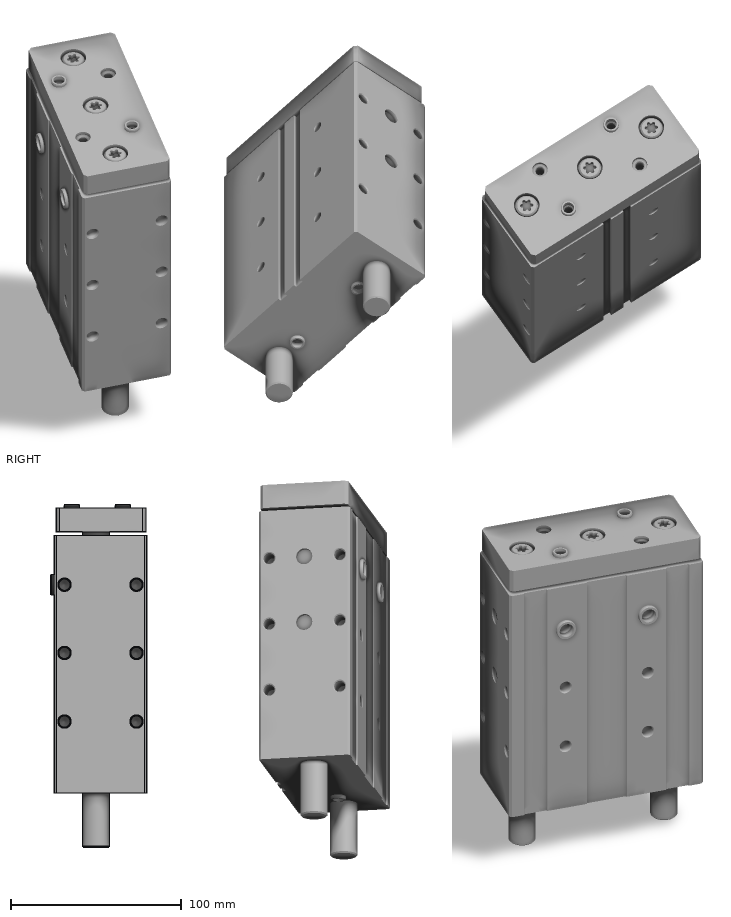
import cadquery as cq
import math


housing_width = 120.0
housing_depth = 54.5
housing_bottom = 31.7
housing_height = 151.0
housing_top = housing_bottom + housing_height
housing_corner_chamfer = 1.5
front_face = -housing_depth / 2
back_face = housing_depth / 2
left_face = -housing_width / 2

front_recess_depth = 0.8
centre_recess_width = 24.5
outer_recess_width = 14.5
outer_recess_floor_width = 13.3
outer_recess_offset = 44.0
sensor_slot_width = 5.5
sensor_slot_depth = 2.0
sensor_slot_offset = 7.0

hole_levels = [73.7, 113.9, 153.8]
sleeve_level = hole_levels[-1]
port_levels = hole_levels[1:]
front_hole_offset = 25.5
side_hole_offset = 21.0
mounting_hole_diameter = 6.6
countersink_diameter = 7.8
side_hole_depth = 12.0
drill_tip_angle = 118
port_diameter = 9.6
port_plug_recess = 2.5
port_plug_length = 4.0
port_depth = port_plug_recess + port_plug_length

plate_gap = 2.0
plate_height = 14.0
plate_width = 118.5
plate_depth = 52.6
plate_centre_y = 0.5
plate_corner_chamfer = 2.0
plate_bottom = housing_top + plate_gap
plate_top = plate_bottom + plate_height
guide_rod_diameter = 16.0
guide_rod_offset = 44.0
guide_rod_y = -2.6
guide_rod_chamfer = 0.8
piston_rod_diameter = 9.8
piston_rod_y = -1.8
piston_rod_insertion = 20.0

screw_bore_diameter = 15.0
screw_bore_depth = 5.0
screw_head_diameter = 13.0
screw_head_chamfer = 1.0
screw_head_recess = 0.6
star_lobe_length = 7.8
star_lobe_width = 2.0
star_core_diameter = 5.5
star_depth = 3.0
star_slot_angles = [30, 90, 150]

sleeve_length = 4.0
sleeve_protrusion = 2.0
sleeve_seat_depth = sleeve_length - sleeve_protrusion
small_sleeve_diameter = 9.0
small_sleeve_bore = 6.6
large_sleeve_diameter = 12.0
large_sleeve_bore = 8.6
sleeve_chamfer_width = 0.3
sleeve_chamfer_length = 0.8
plate_thread_diameter = 5.0
plate_countersink_diameter = 6.0
plate_seat_offset_x = 25.0
plate_seat_spacing_y = 30.0
bottom_sleeve_offset = 27.5

UP = cq.Vector(0, 0, 1)
DOWN = cq.Vector(0, 0, -1)
FRONT = cq.Vector(0, -1, 0)
INWARD = {"left": cq.Vector(1, 0, 0), "right": cq.Vector(-1, 0, 0)}

guide_rod_places = [(side * guide_rod_offset, guide_rod_y) for side in (-1, 1)]
piston_rod_place = (0, piston_rod_y)
screw_places = guide_rod_places + [piston_rod_place]

port_places = [cq.Vector(left_face, 0, level) for level in port_levels]
plate_seat_places = [
    cq.Vector(x_side * plate_seat_offset_x, piston_rod_y + y_side * plate_seat_spacing_y / 2, plate_top)
    for x_side, y_side in ((-1, -1), (1, 1), (-1, 1), (1, -1))
]
plate_sleeve_places = plate_seat_places[:2]
bottom_sleeve_places = [
    cq.Vector(side * bottom_sleeve_offset, guide_rod_y, housing_bottom) for side in (-1, 1)
]
front_sleeve_places = [cq.Vector(side * front_hole_offset, front_face, sleeve_level) for side in (-1, 1)]


def cylinder(diameter, start, direction, length):
    return cq.Workplane(cq.Solid.makeCylinder(diameter / 2, length, start, direction))


def cone(start_diameter, end_diameter, start, direction, length):
    return cq.Workplane(cq.Solid.makeCone(start_diameter / 2, end_diameter / 2, length, start, direction))


def countersink(start, direction):
    """45-degree entry cone of a mounting hole."""
    length = (countersink_diameter - mounting_hole_diameter) / 2
    return cone(countersink_diameter, mounting_hole_diameter, start, direction, length)


def blind_mounting_hole(start, direction):
    """Countersunk hole with a conical drill tip at its end."""
    tip_length = mounting_hole_diameter / 2 / math.tan(math.radians(drill_tip_angle / 2))
    tip = cone(mounting_hole_diameter, 0, start + direction * side_hole_depth, direction, tip_length)
    bore = cylinder(mounting_hole_diameter, start, direction, side_hole_depth)
    return bore.union(tip).union(countersink(start, direction))


def sleeve_seat(diameter, face_point, outward):
    return cylinder(diameter, face_point, outward * -1, sleeve_seat_depth)


def groove(width, depth, x, face_y):
    """Full-height cutter centred on the front or back face, so that half of it cuts to the depth."""
    return (
        cq.Workplane("XY", origin=(x, face_y, housing_bottom))
        .rect(width, 2 * depth)
        .extrude(housing_height)
    )


def outer_recess(x):
    """Full-height front recess whose walls slope in towards its floor."""
    return (
        cq.Workplane("XY", origin=(x, front_face, housing_bottom))
        .moveTo(-outer_recess_width / 2, 0)
        .lineTo(outer_recess_width / 2, 0)
        .lineTo(outer_recess_floor_width / 2, front_recess_depth)
        .lineTo(-outer_recess_floor_width / 2, front_recess_depth)
        .close()
        .extrude(housing_height)
    )


def make_sleeve(diameter, bore_diameter, face_point, outward):
    """Hollow centring sleeve, chamfered at its outer end."""
    sleeve = (
        cq.Workplane("XY")
        .circle(diameter / 2)
        .extrude(sleeve_length)
        .faces(">Z")
        .edges()
        .chamfer(sleeve_chamfer_length, sleeve_chamfer_width)
        .faces(">Z")
        .workplane()
        .hole(bore_diameter)
    )
    seat_floor = face_point - outward * sleeve_seat_depth
    return sleeve.val().moved(cq.Plane(seat_floor, normal=outward).location)


def make_port_plug(port_place):
    """Plug set back from the mouth of a port."""
    start = port_place + INWARD["left"] * port_plug_recess
    return cylinder(port_diameter, start, INWARD["left"], port_plug_length).val()


def make_housing():
    housing = (
        cq.Workplane("XY", origin=(0, 0, housing_bottom))
        .rect(housing_width, housing_depth)
        .extrude(housing_height)
        .edges("|Z")
        .chamfer(housing_corner_chamfer)
    )

    housing = housing.cut(groove(centre_recess_width, front_recess_depth, 0, front_face))
    for side in (-1, 1):
        housing = housing.cut(outer_recess(side * outer_recess_offset))
        housing = housing.cut(
            groove(sensor_slot_width, sensor_slot_depth, side * sensor_slot_offset, back_face)
        )

    for side in (-1, 1):
        for level in hole_levels:
            start = cq.Vector(side * front_hole_offset, front_face, level)
            housing = housing.cut(cylinder(mounting_hole_diameter, start, FRONT * -1, housing_depth))
            if level == sleeve_level:
                start += FRONT * -sleeve_seat_depth
            housing = housing.cut(countersink(start, FRONT * -1))

    for x, inward in ((left_face, INWARD["left"]), (-left_face, INWARD["right"])):
        for side in (-1, 1):
            for level in hole_levels:
                start = cq.Vector(x, side * side_hole_offset, level)
                housing = housing.cut(blind_mounting_hole(start, inward))
    for place in port_places:
        housing = housing.cut(cylinder(port_diameter, place, INWARD["left"], port_depth))

    for x, y in guide_rod_places:
        start = cq.Vector(x, y, housing_bottom)
        housing = housing.cut(cylinder(guide_rod_diameter, start, UP, housing_height))
    piston_bore_start = cq.Vector(*piston_rod_place, housing_top)
    housing = housing.cut(cylinder(piston_rod_diameter, piston_bore_start, DOWN, piston_rod_insertion))

    for place in front_sleeve_places:
        housing = housing.cut(sleeve_seat(large_sleeve_diameter, place, FRONT))
    for place in bottom_sleeve_places:
        housing = housing.cut(sleeve_seat(small_sleeve_diameter, place, DOWN))
    return housing


def screw_recess(x, y):
    """Ring-shaped clearance around a screw head, with its star socket."""
    head_top = plate_top - screw_head_recess
    bore_floor = plate_top - screw_bore_depth
    head = (
        cq.Workplane("XY", origin=(x, y, bore_floor))
        .circle(screw_head_diameter / 2)
        .extrude(head_top - bore_floor)
        .faces(">Z")
        .edges()
        .chamfer(screw_head_chamfer)
    )
    recess = cylinder(screw_bore_diameter, cq.Vector(x, y, plate_top), DOWN, screw_bore_depth).cut(head)
    recess = recess.union(cylinder(star_core_diameter, cq.Vector(x, y, head_top), DOWN, star_depth))
    for angle in star_slot_angles:
        lobes = (
            cq.Workplane("XY", origin=(x, y, head_top - star_depth))
            .slot2D(star_lobe_length, star_lobe_width, angle)
            .extrude(star_depth)
        )
        recess = recess.union(lobes)
    return recess


def make_moving_unit():
    unit = (
        cq.Workplane("XY", origin=(0, plate_centre_y, plate_bottom))
        .rect(plate_width, plate_depth)
        .extrude(plate_height)
        .edges("|Z")
        .chamfer(plate_corner_chamfer)
    )
    for place in plate_seat_places:
        unit = unit.cut(sleeve_seat(small_sleeve_diameter, place, UP))
        unit = unit.cut(cylinder(plate_thread_diameter, place, DOWN, plate_height))
        thread_start = place + DOWN * sleeve_seat_depth
        unit = unit.cut(
            cone(
                plate_countersink_diameter,
                plate_thread_diameter,
                thread_start,
                DOWN,
                (plate_countersink_diameter - plate_thread_diameter) / 2,
            )
        )
    for x, y in screw_places:
        unit = unit.cut(screw_recess(x, y))

    for x, y in guide_rod_places:
        rod = (
            cq.Workplane("XY", origin=(x, y, 0))
            .circle(guide_rod_diameter / 2)
            .extrude(plate_bottom)
            .faces("<Z")
            .edges()
            .chamfer(guide_rod_chamfer)
        )
        unit = unit.union(rod)
    piston_rod_start = cq.Vector(*piston_rod_place, plate_bottom)
    piston_rod_length = plate_gap + piston_rod_insertion
    return unit.union(cylinder(piston_rod_diameter, piston_rod_start, DOWN, piston_rod_length))


housing = make_housing()
moving_unit = make_moving_unit()
plate_sleeves = [
    make_sleeve(small_sleeve_diameter, small_sleeve_bore, place, UP) for place in plate_sleeve_places
]
bottom_sleeves = [
    make_sleeve(small_sleeve_diameter, small_sleeve_bore, place, DOWN) for place in bottom_sleeve_places
]
front_sleeves = [
    make_sleeve(large_sleeve_diameter, large_sleeve_bore, place, FRONT) for place in front_sleeve_places
]
port_plugs = [make_port_plug(place) for place in port_places]

result = cq.Compound.makeCompound(
    [housing.val(), moving_unit.val(), *plate_sleeves, *bottom_sleeves, *front_sleeves, *port_plugs]
)